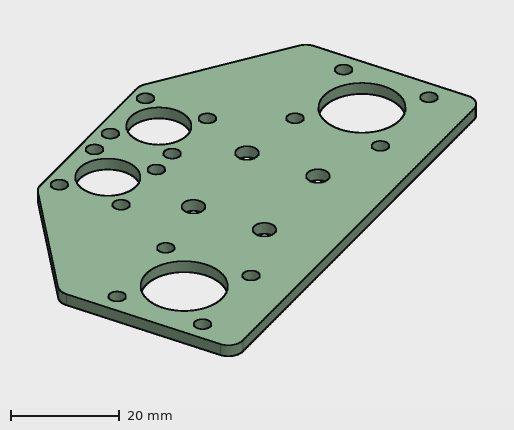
import cadquery as cq

length = 92.0
width = 57.0
thickness = 2.5
corner_radius = 3.0
left_edge_length = 38.1
taper_width = 20.0

large_diameter = 16.0
large_from_right = 18.0
large_spacing = 66.1
large_screw_pitch = 18.0

medium_diameter = 12.0
medium_from_left = 9.5
medium_spacing = 18.95
medium_screw_pitch = 13.1

screw_diameter = 3.2

mount_diameter = 4.3
mount_from_right = 21.7
mount_pitch_x = 15.0
mount_pitch_y = 19.9

right = width / 2
left = -right
top = length / 2
left_edge_top = left_edge_length / 2


def make_plate():
    """Rectangle with both left corners cut to a taper and all corners rounded."""
    outline = [
        (right, -top),
        (right, top),
        (left + taper_width, top),
        (left, left_edge_top),
        (left, -left_edge_top),
        (left + taper_width, -top),
    ]
    plate = cq.Workplane("XY").polyline(outline).close().extrude(thickness)
    return plate.edges("|Z").fillet(corner_radius)


def drill(plate, points, diameter):
    """Cut a through hole at every point."""
    cutters = cq.Workplane("XY").pushPoints(points).circle(diameter / 2).extrude(thickness)
    return plate.cut(cutters)


def rectangle_points(x, y, pitch_x, pitch_y):
    """Corners of a rectangle centred on (x, y)."""
    return [(x + i * pitch_x / 2, y + j * pitch_y / 2) for i in (-1, 1) for j in (-1, 1)]


def cut_opening_pair(plate, x, spacing, diameter, screw_pitch):
    """Cut two openings mirrored about the X axis, with their screw holes."""
    for y in (-spacing / 2, spacing / 2):
        plate = drill(plate, [(x, y)], diameter)
        plate = drill(plate, rectangle_points(x, y, screw_pitch, screw_pitch), screw_diameter)
    return plate


result = make_plate()
result = cut_opening_pair(
    result, right - large_from_right, large_spacing, large_diameter, large_screw_pitch
)
result = cut_opening_pair(
    result, left + medium_from_left, medium_spacing, medium_diameter, medium_screw_pitch
)
mount_points = rectangle_points(right - mount_from_right, 0, mount_pitch_x, mount_pitch_y)
result = drill(result, mount_points, mount_diameter)